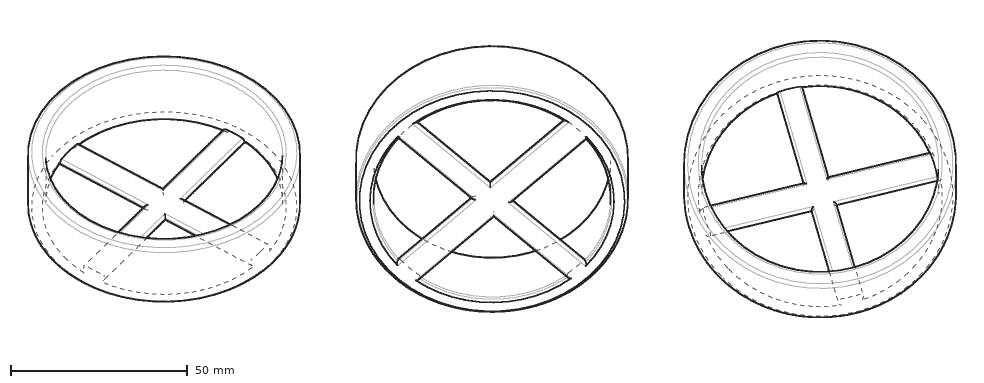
import cadquery as cq

outer_diameter = 77.0
bore_diameter = 67.0
height = 22.0
edge_radius = 1.0
bottom_chamfer = 1.0

x_bar_width = 8.7
y_bar_width = 7.3
bar_thickness = 2.0
bar_edge_radius = 0.8

bar_length = (outer_diameter + bore_diameter) / 2


def make_ring():
    """Ring with rounded top edges and chamfered bottom edges blended into the walls."""
    ring = cq.Workplane("XY").circle(outer_diameter / 2).circle(bore_diameter / 2).extrude(height)
    ring = ring.faces("<Z").edges().chamfer(bottom_chamfer)
    chamfer_corners = cq.selectors.BoxSelector(
        (-outer_diameter, -outer_diameter, bottom_chamfer / 2),
        (outer_diameter, outer_diameter, bottom_chamfer * 3 / 2),
    )
    ring = ring.edges("%CIRCLE").edges(chamfer_corners).fillet(edge_radius)
    return ring.faces(">Z").edges().fillet(edge_radius)


def make_cross():
    """Two crossing bars whose long edges are rounded above and below."""
    x_bar = cq.Workplane("XY").rect(bar_length, x_bar_width).extrude(bar_thickness)
    y_bar = cq.Workplane("XY").rect(y_bar_width, bar_length).extrude(bar_thickness)
    cross = x_bar.union(y_bar)
    inside = bar_length / 2 - bar_edge_radius
    long_edges = cq.selectors.BoxSelector(
        (-inside, -inside, -bar_thickness),
        (inside, inside, bar_thickness * 2),
    )
    return cross.faces("|Z").edges(long_edges).fillet(bar_edge_radius)


result = make_ring().union(make_cross())